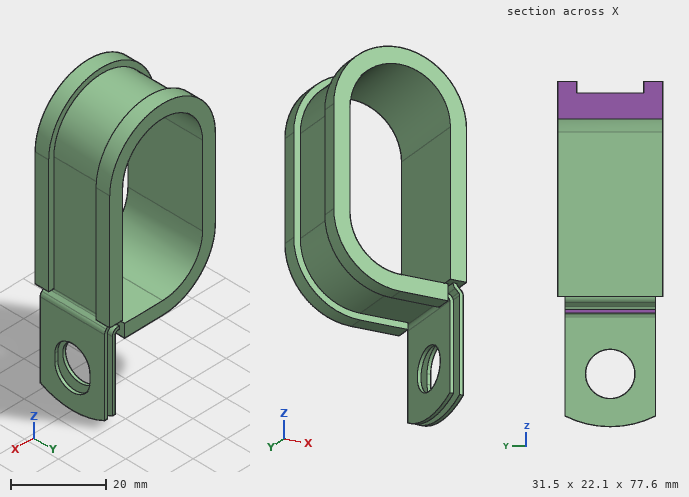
import cadquery as cq
import math


opening_radius = 11.9
outer_radius = 15.77
sleeve_width = 22.1
bend_spacing = 2 * opening_radius
leg_end_z = -34.55
foot_end_x = 11.35

groove_width = 14.0
groove_depth = 1.55

band_thickness = 0.88
band_width = 19.05
bend_inner_radius = 0.8
joggle_angle = math.radians(45)
tab_gap = 1.45
overall_height = 77.64
tab_bottom_z = outer_radius - overall_height
tab_end_radius = 21.2
hole_diameter = 10.3
slot_length = 12.7
hole_end_distance = 11.1
hole_center_z = tab_bottom_z + hole_end_distance

bend_radius = bend_inner_radius + band_thickness / 2
band_radius = outer_radius - groove_depth - band_thickness / 2
outer_tab_x = outer_radius - band_thickness / 2
inner_tab_x = outer_tab_x - band_thickness - tab_gap


def oblong_block(radius, width):
    """Solid oblong with rounded ends, except for a square lower +X corner."""
    foot_z = -bend_spacing - radius
    return (
        cq.Workplane("XZ")
        .moveTo(radius, foot_z)
        .lineTo(radius, 0)
        .threePointArc((0, radius), (-radius, 0))
        .lineTo(-radius, -bend_spacing)
        .threePointArc(
            (-radius * math.sqrt(0.5), -bend_spacing - radius * math.sqrt(0.5)),
            (0, foot_z),
        )
        .close()
        .extrude(width / 2, both=True)
    )


def make_sleeve():
    """Rubber loop with its lower +X corner open and the band groove cut around it."""
    outer = oblong_block(outer_radius, sleeve_width)
    groove = oblong_block(outer_radius, groove_width).cut(
        oblong_block(outer_radius - groove_depth, groove_width)
    )
    corner_size = outer_radius
    corner_block = cq.Workplane("XY").box(
        corner_size, sleeve_width, corner_size, centered=(False, True, False)
    )
    leg_gap = corner_block.translate((opening_radius, 0, leg_end_z - corner_size))
    foot_gap = corner_block.translate((foot_end_x, 0, -bend_spacing - opening_radius - corner_size))
    return (
        outer.cut(oblong_block(opening_radius, sleeve_width))
        .cut(groove)
        .cut(leg_gap)
        .cut(foot_gap)
    )


def sweep_band(path, start_plane):
    """Band cross-section swept along a mid-plane path."""
    return cq.Workplane(start_plane).rect(band_thickness, band_width).sweep(path)


def make_inner_tab():
    """Band leaving the foot horizontally and turning straight down."""
    band_z = -bend_spacing - band_radius
    bend_start_x = inner_tab_x - bend_radius
    bend_middle = bend_radius * math.sqrt(0.5)
    path = (
        cq.Workplane("XZ")
        .moveTo(foot_end_x, band_z)
        .lineTo(bend_start_x, band_z)
        .threePointArc(
            (bend_start_x + bend_middle, band_z - bend_radius + bend_middle),
            (inner_tab_x, band_z - bend_radius),
        )
        .lineTo(inner_tab_x, tab_bottom_z)
    )
    start_plane = cq.Plane(origin=(foot_end_x, 0, band_z), xDir=(0, 0, 1), normal=(1, 0, 0))
    return sweep_band(path, start_plane)


def make_outer_tab():
    """Band leaving the leg downward and joggling outward until flush with the sleeve."""
    arc_shift = bend_radius * (1 - math.cos(joggle_angle))
    arc_drop = bend_radius * math.sin(joggle_angle)
    middle_shift = bend_radius * (1 - math.cos(joggle_angle / 2))
    middle_drop = bend_radius * math.sin(joggle_angle / 2)
    slope_shift = outer_tab_x - band_radius - 2 * arc_shift
    slope_drop = slope_shift / math.tan(joggle_angle)
    joggle_end_z = leg_end_z - 2 * arc_drop - slope_drop
    path = (
        cq.Workplane("XZ")
        .moveTo(band_radius, leg_end_z)
        .threePointArc(
            (band_radius + middle_shift, leg_end_z - middle_drop),
            (band_radius + arc_shift, leg_end_z - arc_drop),
        )
        .lineTo(outer_tab_x - arc_shift, joggle_end_z + arc_drop)
        .threePointArc(
            (outer_tab_x - middle_shift, joggle_end_z + middle_drop),
            (outer_tab_x, joggle_end_z),
        )
        .lineTo(outer_tab_x, tab_bottom_z)
    )
    start_plane = cq.Plane(origin=(band_radius, 0, leg_end_z), xDir=(1, 0, 0), normal=(0, 0, -1))
    return sweep_band(path, start_plane)


def trim_tab(tab, bolt_hole):
    """Round the lower end of a tab and cut its bolt hole."""
    half_width = band_width / 2
    corner_rise = tab_end_radius - math.sqrt(tab_end_radius**2 - half_width**2)
    corner_z = tab_bottom_z + corner_rise
    outline = (
        cq.Workplane("YZ")
        .moveTo(-half_width, 0)
        .lineTo(-half_width, corner_z)
        .threePointArc((0, tab_bottom_z), (half_width, corner_z))
        .lineTo(half_width, 0)
        .close()
        .extrude(outer_radius)
    )
    return tab.intersect(outline).cut(bolt_hole)


bolt_axis = cq.Workplane("YZ").center(0, hole_center_z)
round_hole = bolt_axis.circle(hole_diameter / 2).extrude(outer_radius)
slotted_hole = bolt_axis.slot2D(slot_length, hole_diameter, angle=90).extrude(outer_radius)

inner_tab = trim_tab(make_inner_tab(), round_hole)
outer_tab = trim_tab(make_outer_tab(), slotted_hole)
result = make_sleeve().union(inner_tab).union(outer_tab)